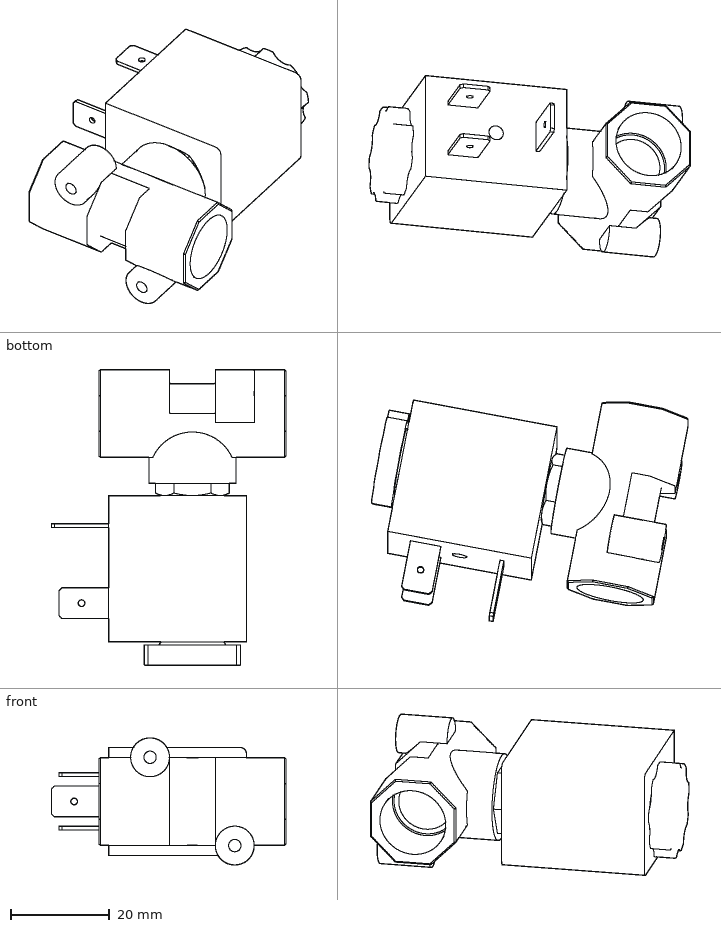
import cadquery as cq
import math


body_sides = 8
body_length = 38.0
body_half_flats = 8.915
body_end_chamfer = 0.3
body_edge_radius = 0.3
port_radius = 6.85
port_depth = 12.0
port_floor_radius = 6.58
seat_cone_radius = 5.6
drill_point_angle = 118.0

relief_width = 9.3
relief_corner_radius = 0.2
core_radius = 6.1

boss_radius = 3.95
boss_x = 8.6
boss_z = 8.965
boss_end_radius = 0.2
boss_top_y = 1.85
boss_hole_diameter = 2.5
boss_hole_depth = 8.0

bonnet_radius = 8.85
bonnet_top_y = 14.2
hex_across_flats = 13.0
hex_crown_height = 0.5

coil_left_x = -17.0
coil_right_x = 11.0
coil_bottom_y = 16.65
coil_top_y = 46.35
coil_height = 22.0
coil_edge_radius = 1.4
coil_screw_hole_diameter = 3.0
coil_screw_hole_depth = 8.0
coil_middle_y = (coil_bottom_y + coil_top_y) / 2

terminal_width = 6.3
terminal_thickness = 0.8
terminal_corner = 0.6
terminal_hole_diameter = 1.3
terminal_hole_from_tip = 4.6
terminal_root = 1.0
power_terminal_tip_x = -27.1
power_terminal_y = 38.5
power_terminal_z = 5.43
ground_terminal_tip_x = -28.61
ground_terminal_y = 22.75

knob_bottom_y = 46.95
knob_top_y = 51.115
knob_radius = 9.8
knob_lobes = 9
lobe_half_angle = math.radians(7.0)
scallop_depth = 0.9
lobe_corner_radius = 0.25
knob_edge_radius = 0.2
neck_bottom_radius = 6.4
neck_top_radius = 6.8


def plane_across_y(y):
    """Work plane at height y along the coil axis: local x is X, local y is Z, normal is -Y."""
    return cq.Workplane("XZ", origin=(0, y, 0))


def revolved_about_y(points):
    """Solid of revolution about the Y axis from (radius, y) points."""
    return cq.Workplane("XY").polyline(points).close().revolve(360, (0, 0, 0), (0, 1, 0))


def make_body():
    """Octagonal bar with softened edges, relieved on its -Y half around the round core."""
    corner_radius = body_half_flats / math.cos(math.pi / body_sides)
    body = (
        cq.Workplane("YZ", origin=(-body_length / 2, 0, 0))
        .transformed(rotate=(0, 0, 180 / body_sides))
        .polygon(body_sides, 2 * corner_radius)
        .extrude(body_length)
        .edges("|X")
        .fillet(body_edge_radius)
        .faces("<X or >X")
        .chamfer(body_end_chamfer)
    )
    relief_height = 2 * corner_radius
    relief = cq.Workplane("XY").box(
        relief_width, relief_height, relief_height, centered=(True, False, True)
    ).translate((0, -relief_height, 0))
    core = cq.Workplane("YZ").circle(core_radius).extrude(relief_width / 2, both=True)
    inner_corners = cq.selectors.BoxSelector(
        (-relief_width, -core_radius, -body_half_flats + relief_corner_radius),
        (relief_width, relief_corner_radius, body_half_flats - relief_corner_radius),
    )
    return body.cut(relief).union(core).edges(inner_corners).fillet(relief_corner_radius)


def make_port():
    """Tool for the port on the +X end: straight bore, bevelled floor corner and conical seat."""
    end_x = body_length / 2
    floor_x = end_x - port_depth
    floor_bevel = port_radius - port_floor_radius
    cone_depth = seat_cone_radius / math.tan(math.radians(drill_point_angle / 2))
    profile = [
        (end_x, 0),
        (end_x, port_radius),
        (floor_x + floor_bevel, port_radius),
        (floor_x, port_floor_radius),
        (floor_x, seat_cone_radius),
        (floor_x - cone_depth, 0),
    ]
    return cq.Workplane("XY").polyline(profile).close().revolve(360, (0, 0, 0), (1, 0, 0))


def add_bosses(valve):
    centres = [(-boss_x, boss_z), (boss_x, -boss_z)]
    boss_length = boss_top_y + body_half_flats
    bosses = (
        plane_across_y(boss_top_y)
        .pushPoints(centres)
        .circle(boss_radius)
        .extrude(boss_length)
        .edges("<Y")
        .fillet(boss_end_radius)
    )
    holes = (
        plane_across_y(-body_half_flats)
        .pushPoints(centres)
        .circle(boss_hole_diameter / 2)
        .extrude(-boss_hole_depth)
    )
    return valve.union(bosses).cut(holes)


def make_bonnet():
    return plane_across_y(bonnet_top_y).circle(bonnet_radius).extrude(bonnet_top_y)


def make_hexagon():
    """Hexagon with corners on +X and -X, its upper corners turned down to a cone."""
    corner_radius = hex_across_flats / math.sqrt(3)
    height = coil_bottom_y - bonnet_top_y
    hexagon = plane_across_y(coil_bottom_y).polygon(6, 2 * corner_radius).extrude(height)
    crown = revolved_about_y([
        (0, bonnet_top_y),
        (corner_radius, bonnet_top_y),
        (corner_radius, coil_bottom_y - hex_crown_height),
        (hex_across_flats / 2, coil_bottom_y),
        (0, coil_bottom_y),
    ])
    return hexagon.intersect(crown)


def make_coil():
    """Coil block with two rounded edges on +X and a blind screw hole on -X."""
    coil = (
        cq.Workplane("XY")
        .box(
            coil_right_x - coil_left_x,
            coil_top_y - coil_bottom_y,
            coil_height,
            centered=(False, False, True),
        )
        .translate((coil_left_x, coil_bottom_y, 0))
        .edges("|Y and >X")
        .fillet(coil_edge_radius)
    )
    screw_hole = (
        cq.Workplane("YZ", origin=(coil_left_x, coil_middle_y, 0))
        .circle(coil_screw_hole_diameter / 2)
        .extrude(coil_screw_hole_depth)
    )
    return coil.cut(screw_hole)


def make_terminal(tip_x):
    """Terminal lying flat in the XY plane, centred on Y and Z, rooted inside the coil."""
    length = coil_left_x + terminal_root - tip_x
    return (
        cq.Workplane("XY")
        .box(length, terminal_width, terminal_thickness, centered=(False, True, True))
        .edges("|Z and <X")
        .chamfer(terminal_corner)
        .faces(">Z")
        .workplane(origin=(terminal_hole_from_tip, 0, 0))
        .hole(terminal_hole_diameter)
        .translate((tip_x, 0, 0))
    )


def add_terminals(valve):
    for z in (-power_terminal_z, power_terminal_z):
        power = make_terminal(power_terminal_tip_x)
        valve = valve.union(power.translate((0, power_terminal_y, z)))
    ground = make_terminal(ground_terminal_tip_x).rotate((0, 0, 0), (1, 0, 0), 90)
    return valve.union(ground.translate((0, ground_terminal_y, 0)))


def knob_point(radius, angle):
    """Point of the knob outline, the angle measured from +Z."""
    return (radius * math.sin(angle), radius * math.cos(angle))


def make_knob():
    """Knob outline of alternating lobe and scallop arcs, with the first lobe on +Z."""
    pitch = 2 * math.pi / knob_lobes
    scallop_bottom_radius = knob_radius * math.cos(pitch / 2 - lobe_half_angle) - scallop_depth
    outline = plane_across_y(knob_top_y).moveTo(*knob_point(knob_radius, -lobe_half_angle))
    for lobe in range(knob_lobes):
        lobe_angle = lobe * pitch
        outline = outline.threePointArc(
            knob_point(knob_radius, lobe_angle),
            knob_point(knob_radius, lobe_angle + lobe_half_angle),
        ).threePointArc(
            knob_point(scallop_bottom_radius, lobe_angle + pitch / 2),
            knob_point(knob_radius, lobe_angle + pitch - lobe_half_angle),
        )
    knob = outline.close().extrude(knob_top_y - knob_bottom_y)
    knob = knob.edges("|Y").fillet(lobe_corner_radius)
    knob = knob.faces(">Y").edges().fillet(knob_edge_radius)
    neck = revolved_about_y([
        (0, coil_top_y),
        (neck_bottom_radius, coil_top_y),
        (neck_top_radius, knob_bottom_y),
        (0, knob_bottom_y),
    ])
    return knob.union(neck)


right_port = make_port()
left_port = right_port.mirror("YZ")

valve = make_body().union(make_bonnet())
valve = add_bosses(valve)
valve = valve.cut(right_port).cut(left_port)
valve = valve.union(make_hexagon()).union(make_coil()).union(make_knob())
result = add_terminals(valve)